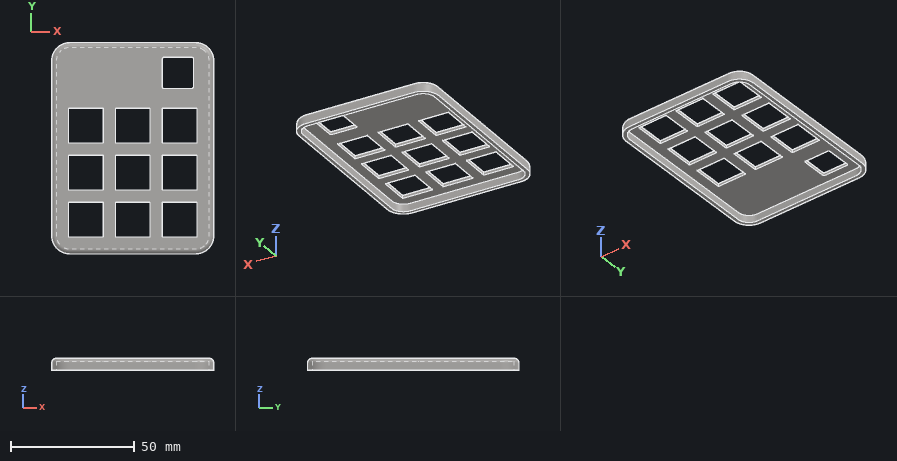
import cadquery as cq

WIDTH = 65.9
LENGTH = 85.95
HEIGHT = 5.0
CORNER_RADIUS = 7.5
TOP_EDGE_RADIUS = 2.0

PLATE_THICKNESS = 1.5
WALL_THICKNESS = 2.0

KEY_SIZE = 14.0
KEY_PITCH = 19.1
KEY_COUNT = 3
GRID_CENTER_Y = -9.9

KNOB_SIZE = 12.55
KNOB_CORNER_RADIUS = 0.5
KNOB_CENTER_Y = 30.6


def rounded_block(width, length, height, radius):
    """Upright block on the base plane with rounded vertical edges."""
    block = cq.Workplane("XY").box(width, length, height, centered=(True, True, False))
    return block.edges("|Z").fillet(radius)


def make_shell():
    """Rounded cover, open underneath, with a softened top rim."""
    body = rounded_block(WIDTH, LENGTH, HEIGHT, CORNER_RADIUS)
    body = body.faces(">Z").edges().fillet(TOP_EDGE_RADIUS)
    cavity = rounded_block(
        WIDTH - 2 * WALL_THICKNESS,
        LENGTH - 2 * WALL_THICKNESS,
        HEIGHT - PLATE_THICKNESS,
        CORNER_RADIUS - WALL_THICKNESS,
    )
    return body.cut(cavity)


def key_openings():
    """Square grid of through openings for the keys."""
    return (
        cq.Workplane("XY")
        .center(0, GRID_CENTER_Y)
        .rarray(KEY_PITCH, KEY_PITCH, KEY_COUNT, KEY_COUNT)
        .rect(KEY_SIZE, KEY_SIZE)
        .extrude(HEIGHT)
    )


def knob_opening():
    """Smaller opening whose left side lines up with the last key column."""
    last_column_x = KEY_PITCH * (KEY_COUNT - 1) / 2
    center_x = last_column_x - KEY_SIZE / 2 + KNOB_SIZE / 2
    opening = rounded_block(KNOB_SIZE, KNOB_SIZE, HEIGHT, KNOB_CORNER_RADIUS)
    return opening.translate((center_x, KNOB_CENTER_Y, 0))


result = make_shell().cut(key_openings()).cut(knob_opening())